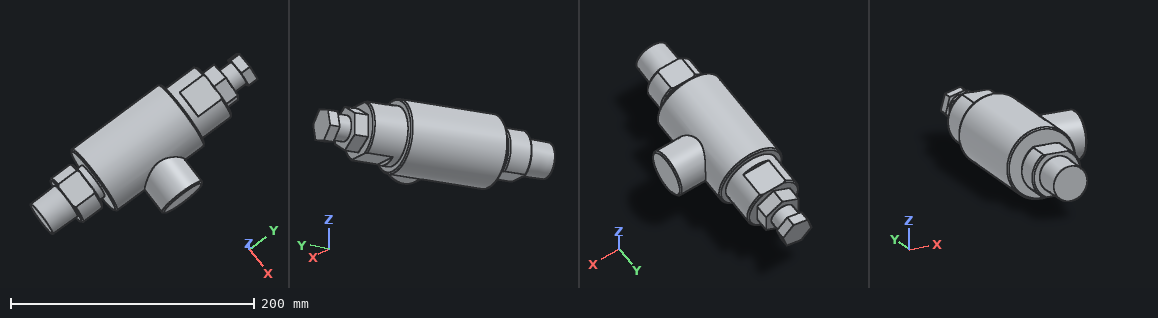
import cadquery as cq

overall_length = 212.0
nut_start = 25.0
nut_end = 46.8
body_start = 53.2
body_end = 144.8
cap_flat_start = 151.8
cap_end = 177.2
lock_nut_end = 190.1
head_start = 202.8

tip_diameter = 30.7
neck_diameter = 31.8
nut_diameter = 44.5
nut_across_flats = 37.5
body_diameter = 62.5
cap_diameter = 50.9
cap_across_flats = 44.0
lock_nut_across_corners = 37.5
stem_diameter = 22.0
head_across_corners = 29.5
edge_chamfer = 1.3

lock_nut_angle = 30
head_angle = 15

port_diameter = 41.5
port_center_y = 103.2
overall_width = 87.3
port_reach = overall_width - body_diameter / 2


def section_plane(y):
    """Plane across the main axis at station y, with its normal along +Y."""
    return cq.Workplane(cq.Plane(origin=(0, y, 0), xDir=(1, 0, 0), normal=(0, 1, 0)))


def cylinder(start, end, diameter):
    return section_plane(start).circle(diameter / 2).extrude(end - start)


def flatted_cylinder(start, end, diameter, flat_start, across_flats, chamfered_ends):
    """Cylinder with flats facing +Z and -Z from flat_start to its end."""
    solid = cylinder(start, end, diameter).edges(chamfered_ends).chamfer(edge_chamfer)
    flat_length = end - flat_start
    cut_depth = diameter / 2
    for side in (1, -1):
        cutter = cq.Workplane("XY").box(diameter, flat_length, cut_depth).translate(
            (0, flat_start + flat_length / 2, side * (across_flats + cut_depth) / 2)
        )
        solid = solid.cut(cutter)
    return solid


def hexagon(start, end, across_corners, angle):
    prism = section_plane(start).polygon(6, across_corners).extrude(end - start)
    return prism.rotate((0, 0, 0), (0, -1, 0), angle)


tapered_end = section_plane(0).circle(tip_diameter / 2).workplane(offset=nut_start)
tapered_end = tapered_end.circle(neck_diameter / 2).loft()
neck = cylinder(nut_end, body_start, neck_diameter)
nut = flatted_cylinder(nut_start, nut_end, nut_diameter, nut_start, nut_across_flats, "%CIRCLE")

body = cylinder(body_start, body_end, body_diameter).edges().chamfer(edge_chamfer)
port = cq.Workplane("YZ").center(port_center_y, 0).circle(port_diameter / 2).extrude(port_reach)
port = port.faces(">X").edges().chamfer(edge_chamfer)

cap = flatted_cylinder(body_end, cap_end, cap_diameter, cap_flat_start, cap_across_flats, ">Y")
lock_nut = hexagon(cap_end, lock_nut_end, lock_nut_across_corners, lock_nut_angle)
stem = cylinder(lock_nut_end, head_start, stem_diameter)
head = hexagon(head_start, overall_length, head_across_corners, head_angle)

result = tapered_end
for piece in (nut, neck, body, port, cap, lock_nut, stem, head):
    result = result.union(piece)